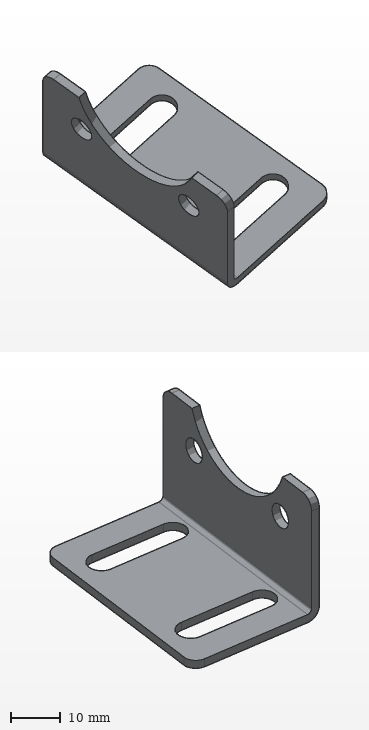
import cadquery as cq

width = 50.0
depth = 32.0
height = 30.0
thickness = 2.0
bend_inner_radius = 1.0
bend_outer_radius = bend_inner_radius + thickness
corner_radius = 3.0

cutout_radius = 16.0
cutout_center_z = 35.0

hole_diameter = 5.5
hole_spacing = 29.0
hole_z = 20.0

slot_width = 6.3
slot_length = 24.3
slot_spacing = 30.0
slot_center_y = depth / 2


def bent_sheet():
    """L-shaped sheet with a rounded bend along the X axis."""
    profile = (
        cq.Workplane("YZ")
        .moveTo(0, 0)
        .lineTo(depth, 0)
        .lineTo(depth, thickness)
        .lineTo(thickness, thickness)
        .lineTo(thickness, height)
        .lineTo(0, height)
        .close()
    )
    sheet = profile.extrude(width / 2, both=True)
    inner_edge = cq.selectors.NearestToPointSelector((0, thickness, thickness))
    sheet = sheet.edges(inner_edge).fillet(bend_inner_radius)
    sheet = sheet.edges("|X and <Y and <Z").fillet(bend_outer_radius)
    sheet = sheet.faces(">Z").edges("|Y").fillet(corner_radius)
    return sheet.faces(">Y").edges("|Z").fillet(corner_radius)


def wall_cutters():
    """Cylinders along Y for the top cutout and the two holes."""
    plane = cq.Workplane("XZ")
    cutout = plane.center(0, cutout_center_z).circle(cutout_radius).extrude(-thickness)
    hole_centers = [(side * hole_spacing / 2, hole_z) for side in (-1, 1)]
    holes = plane.pushPoints(hole_centers).circle(hole_diameter / 2).extrude(-thickness)
    return cutout.union(holes)


def base_slots():
    """Two round-ended slots through the base."""
    slot_centers = [(side * slot_spacing / 2, slot_center_y) for side in (-1, 1)]
    return (
        cq.Workplane("XY")
        .pushPoints(slot_centers)
        .slot2D(slot_length, slot_width, 90)
        .extrude(thickness)
    )


result = bent_sheet().cut(wall_cutters()).cut(base_slots())